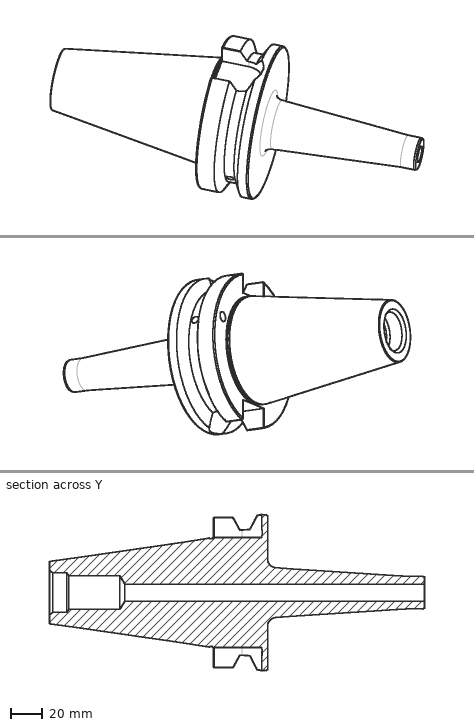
import cadquery as cq
import math

total_length = 239.8
flange_diameter = 100.0
flange_radius = flange_diameter / 2

gauge_x = 102.2
gauge_radius = 35.0
taper_ratio = 7 / 24 / 2
shank_end_radius = gauge_radius - taper_ratio * gauge_x
shank_end_chamfer = 0.5

relief_depth = 0.5
relief_chamfer = 0.7
relief_width = 1.2

flange_start = 104.8
flange_end = 139.5
rim_chamfer_length = 1.0
rim_chamfer_depth = 0.7
groove_center = 125.0
groove_bottom_width = 6.5
groove_bottom_radius = 42.2
groove_half_angle = math.radians(30)

root_fillet = 5.5
neck_radius = 16.0
tip_radius = 10.5
tip_length = 10.0
tip_chamfer_length = 1.2
tip_chamfer_depth = 0.5

through_radius = 5.3
mouth_radius = 14.1
mouth_chamfer_length = 2.2
counterbore_radius = 12.5
counterbore_depth = 11.0
thread_radius = 10.5
thread_lead_length = 1.5
thread_depth = 45.0
drill_point_half_angle = math.radians(59)

slot_width = 26.0
slot_floor = 35.3
slot_end = 135.7
slot_edge_chamfer = 0.5

coolant_angle = 20.0
coolant_face_radius = 41.5
coolant_slant = math.radians(25)
coolant_hole_radius = 3.0
radial_hole_radius = 2.5


def revolve_about_x(wire):
    return wire.close().revolve(360, (0, 0, 0), (1, 0, 0))


def make_body():
    relief_end = gauge_x + relief_chamfer + relief_width
    relief_radius = gauge_radius - relief_depth
    rim_radius = flange_radius - rim_chamfer_depth
    groove_side = (flange_radius - groove_bottom_radius) * math.tan(groove_half_angle)
    groove_start = groove_center - groove_bottom_width / 2
    groove_stop = groove_center + groove_bottom_width / 2
    fillet_end = flange_end + root_fillet
    fillet_mid_x = fillet_end - root_fillet * math.sin(math.pi / 4)
    fillet_mid_radius = neck_radius + root_fillet * (1 - math.cos(math.pi / 4))
    profile = (
        cq.Workplane("XY")
        .moveTo(0, 0)
        .lineTo(0, shank_end_radius - shank_end_chamfer)
        .lineTo(shank_end_chamfer, shank_end_radius + taper_ratio * shank_end_chamfer)
        .lineTo(gauge_x, gauge_radius)
        .lineTo(gauge_x + relief_chamfer, relief_radius)
        .lineTo(relief_end, relief_radius)
        .lineTo(relief_end, gauge_radius)
        .lineTo(flange_start, gauge_radius)
        .lineTo(flange_start, rim_radius)
        .lineTo(flange_start + rim_chamfer_length, flange_radius)
        .lineTo(groove_start - groove_side, flange_radius)
        .lineTo(groove_start, groove_bottom_radius)
        .lineTo(groove_stop, groove_bottom_radius)
        .lineTo(groove_stop + groove_side, flange_radius)
        .lineTo(flange_end - rim_chamfer_length, flange_radius)
        .lineTo(flange_end, rim_radius)
        .lineTo(flange_end, neck_radius + root_fillet)
        .threePointArc((fillet_mid_x, fillet_mid_radius), (fillet_end, neck_radius))
        .lineTo(total_length - tip_length, tip_radius)
        .lineTo(total_length - tip_chamfer_length, tip_radius)
        .lineTo(total_length, tip_radius - tip_chamfer_depth)
        .lineTo(total_length, 0)
    )
    return revolve_about_x(profile)


def make_bore():
    point_length = (thread_radius - through_radius) / math.tan(drill_point_half_angle)
    profile = (
        cq.Workplane("XY")
        .moveTo(0, 0)
        .lineTo(0, mouth_radius)
        .lineTo(mouth_chamfer_length, counterbore_radius)
        .lineTo(counterbore_depth, counterbore_radius)
        .lineTo(counterbore_depth + thread_lead_length, thread_radius)
        .lineTo(thread_depth, thread_radius)
        .lineTo(thread_depth + point_length, through_radius)
        .lineTo(total_length, through_radius)
        .lineTo(total_length, 0)
    )
    return revolve_about_x(profile)


def make_drive_slot():
    half_width = slot_width / 2
    arc_start = slot_end - half_width
    return (
        cq.Workplane("XY", origin=(0, 0, slot_floor))
        .moveTo(flange_start, -half_width)
        .lineTo(arc_start, -half_width)
        .threePointArc((slot_end, 0), (arc_start, half_width))
        .lineTo(flange_start, half_width)
        .close()
        .extrude(flange_radius - slot_floor)
    )


def make_slot_edge_chamfer(side):
    """Wedge along the top edge of one slot wall, and one along its front edge."""
    wall_y = side * slot_width / 2
    outer_y = wall_y + side * slot_edge_chamfer
    rim_z = math.sqrt(flange_radius**2 - (slot_width / 2) ** 2)
    top_z = rim_z + slot_edge_chamfer
    top_y = outer_y + side * slot_edge_chamfer
    top_wedge = (
        cq.Workplane("YZ", origin=(flange_start, 0, 0))
        .polyline([(wall_y, rim_z - slot_edge_chamfer), (top_y, top_z), (wall_y, top_z)])
        .close()
        .extrude(groove_center - flange_start)
    )
    front_wedge = (
        cq.Workplane("XY", origin=(0, 0, slot_floor))
        .polyline(
            [
                (flange_start, wall_y),
                (flange_start, outer_y),
                (flange_start + slot_edge_chamfer, wall_y),
            ]
        )
        .close()
        .extrude(flange_radius - slot_floor)
    )
    return top_wedge.union(front_wedge)


def make_coolant_hole():
    """Hole pair on the +Y side, before it is turned to its place about X."""
    run = groove_center - flange_start
    meeting_radius = coolant_face_radius - run * math.tan(coolant_slant)
    overrun = 2 * coolant_hole_radius
    direction = cq.Vector(math.cos(coolant_slant), -math.sin(coolant_slant), 0)
    meeting_point = cq.Vector(groove_center, meeting_radius, 0)
    slant_length = run / math.cos(coolant_slant) + overrun
    start = meeting_point - direction * slant_length
    slanted = cq.Solid.makeCylinder(coolant_hole_radius, slant_length, start, direction)
    radial_length = groove_bottom_radius - meeting_radius + radial_hole_radius
    radial = cq.Solid.makeCylinder(
        radial_hole_radius, radial_length, meeting_point, cq.Vector(0, 1, 0)
    )
    return cq.Workplane("XY").add(slanted).union(cq.Workplane("XY").add(radial))


def turned(shape, angle):
    return shape.rotate((0, 0, 0), (1, 0, 0), angle)


result = make_body().cut(make_bore())
for half_turn in (0, 180):
    result = result.cut(turned(make_drive_slot(), half_turn))
    for side in (-1, 1):
        result = result.cut(turned(make_slot_edge_chamfer(side), half_turn))
    result = result.cut(turned(make_coolant_hole(), half_turn + coolant_angle))